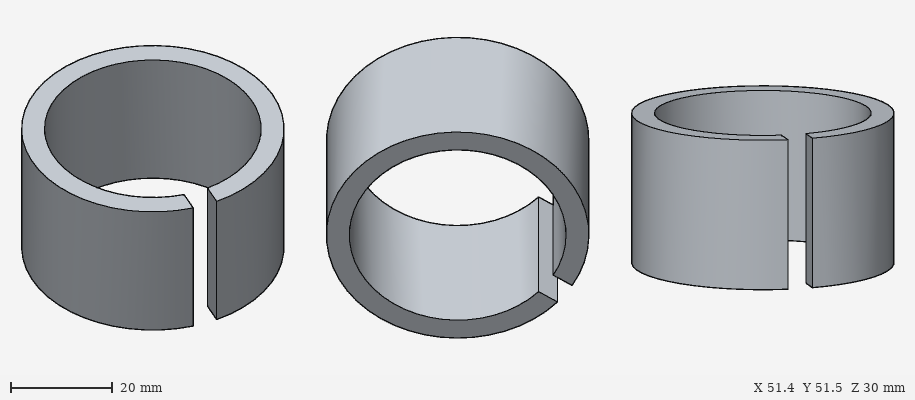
import cadquery as cq

outer_diameter = 51.5
wall_thickness = 4.5
height = 30.0
slit_width = 5.0

inner_diameter = outer_diameter - 2 * wall_thickness


def make_ring():
    """Plain cylindrical sleeve standing on the XY plane, axis along Z."""
    return (
        cq.Workplane("XY")
        .circle(outer_diameter / 2)
        .circle(inner_diameter / 2)
        .extrude(height)
    )


def make_slit():
    """Parallel-sided cutter that opens the +X side of the wall over the full height."""
    return cq.Workplane("XY").box(
        outer_diameter, slit_width, height, centered=(False, True, False)
    )


result = make_ring().cut(make_slit())